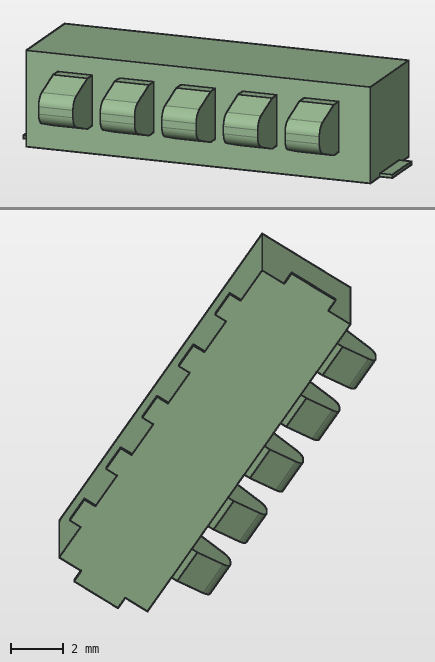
import cadquery as cq

overall_length = 15.0
overall_depth = 6.5
body_length = 14.0
body_height = 3.8

rear_tab_overhang = 0.5
tab_thickness = 0.14
rear_tab_width = 1.0
side_tab_width = 2.0

lever_count = 5
lever_pitch = 2.5
lever_width = 1.4
lever_reach = 2.0
lever_height = 2.0
lever_center_z = 2.1
lever_straight = 0.5
lever_tip_height = 1.0
lever_tip_radius = 0.5

body_depth = overall_depth - rear_tab_overhang - lever_reach
front_y = -body_depth / 2
rear_y = body_depth / 2


def bottom_plate(length, depth, thickness):
    """Box centred in X and Y, standing on the Z = 0 plane."""
    return cq.Workplane("XY").box(length, depth, thickness, centered=(True, True, False))


def make_lever(center_x):
    """Lever tapering forward to a blunt tip with rounded edges."""
    shoulder_y = front_y - lever_straight
    tip_y = front_y - lever_reach
    root_half = lever_height / 2
    tip_half = lever_tip_height / 2
    profile = [
        (front_y, lever_center_z - root_half),
        (shoulder_y, lever_center_z - root_half),
        (tip_y, lever_center_z - tip_half),
        (tip_y, lever_center_z + tip_half),
        (shoulder_y, lever_center_z + root_half),
        (front_y, lever_center_z + root_half),
    ]
    lever = cq.Workplane("YZ").polyline(profile).close().extrude(lever_width / 2, both=True)
    lever = lever.faces("<Y").edges("|X").fillet(lever_tip_radius)
    return lever.translate((center_x, 0, 0))


def make_rear_tab(center_x):
    """Tab running from the body centre to beyond the rear face."""
    tab_length = rear_y + rear_tab_overhang
    tab = bottom_plate(rear_tab_width, tab_length, tab_thickness)
    return tab.translate((center_x, tab_length / 2, 0))


result = bottom_plate(body_length, body_depth, body_height)
result = result.union(bottom_plate(overall_length, side_tab_width, tab_thickness))

for index in range(lever_count):
    switch_x = (index - (lever_count - 1) / 2) * lever_pitch
    result = result.union(make_lever(switch_x))
    result = result.union(make_rear_tab(switch_x))